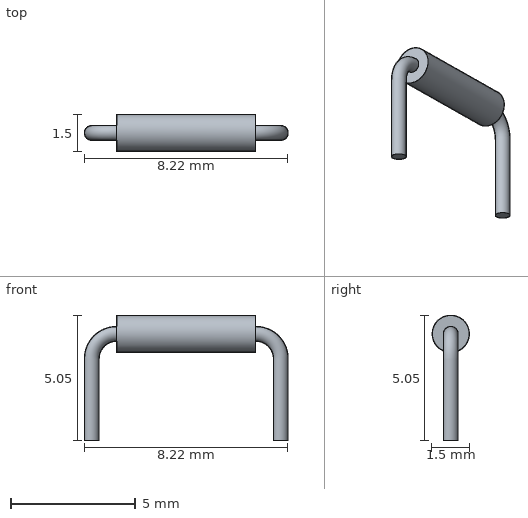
import cadquery as cq

body_diameter = 1.5
body_length = 5.6
wire_diameter = 0.6
lead_pitch = 7.62
bend_radius = 1.0
leg_length = 3.3

axis_height = leg_length + bend_radius
lead_x = lead_pitch / 2
bend_start_x = lead_x - bend_radius
body_start_x = -bend_start_x


def make_body():
    """Cylindrical body lying along X."""
    return (
        cq.Workplane("YZ", origin=(body_start_x, 0, axis_height))
        .circle(body_diameter / 2)
        .extrude(body_length)
    )


def make_wire():
    """Round wire running through the body and bent down at both ends."""
    centreline = (
        cq.Workplane("XZ")
        .moveTo(-lead_x, 0)
        .lineTo(-lead_x, leg_length)
        .radiusArc((-bend_start_x, axis_height), bend_radius)
        .lineTo(bend_start_x, axis_height)
        .radiusArc((lead_x, leg_length), bend_radius)
        .lineTo(lead_x, 0)
    )
    return (
        cq.Workplane("XY", origin=(-lead_x, 0, 0))
        .circle(wire_diameter / 2)
        .sweep(centreline)
    )


result = make_body().union(make_wire())